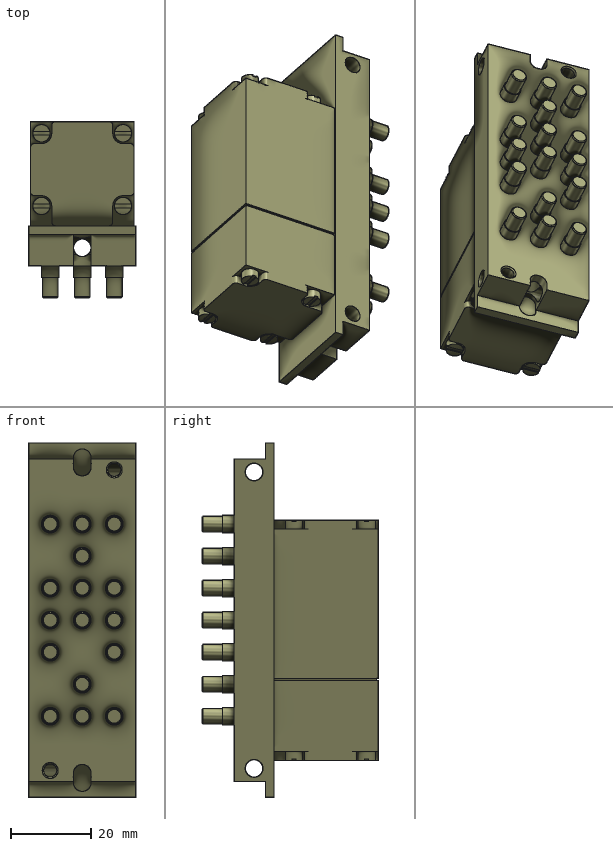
import cadquery as cq
import math

plate_length = 88.5
plate_width = 26.8
plate_thickness = 10.0
flange_thickness = 2.2
flange_overhang = 4.0
block_length = plate_length - 2 * flange_overhang

housing_width = 25.8
housing_depth = 26.0
housing_height = 60.0
housing_center_z = -5.05
housing_back_y = plate_thickness + housing_depth
housing_top_z = housing_center_z + housing_height / 2
housing_bottom_z = housing_center_z - housing_height / 2
lower_section_height = 20.3
groove_width = 0.5
groove_depth = 0.4

screw_x = 10.2
screw_head_diameter = 4.3
screw_from_back = 2.9
screw_from_plate = 5.0
back_screw_y = housing_back_y - screw_from_back
front_screw_y = plate_thickness + screw_from_plate
screw_slot_width = 1.0
screw_slot_depth = 0.35
pocket_depth = 2.2
pocket_radius = 2.6
pocket_lip_radius = 1.0

pin_field_height = 48.0
pin_rows = [(-1, 0, 1), (0,), (-1, 0, 1), (-1, 0, 1), (-1, 1), (0,), (-1, 0, 1)]
pin_pitch = pin_field_height / (len(pin_rows) - 1)
pin_length = 8.0
pin_collar_diameter = 4.4
pin_collar_length = 2.9
pin_tip_diameter = 4.0
pin_tip_chamfer = 0.3

mount_hole_diameter = 4.3
cross_hole_y = plate_thickness / 2
cross_hole_z = 37.0
long_hole_y = 4.5
front_hole_diameter = 3.3
front_hole_z = 37.5
front_hole_chamfer = 0.35
slot_width = 4.4
slot_length = 6.7
slot_center_z = 39.4
slot_depth = 8.2


def box(x_range, y_range, z_range):
    """Axis-aligned box given by its limits along each axis."""
    sizes = [high - low for low, high in (x_range, y_range, z_range)]
    corner = (x_range[0], y_range[0], z_range[0])
    return cq.Workplane("XY").box(*sizes, centered=False).translate(corner)


def centered(length):
    """Limits of a span of this length about zero."""
    return (-length / 2, length / 2)


def front_plane(x, z):
    """Workplane on the plate's front face whose extrusions run into the plate."""
    return cq.Workplane(cq.Plane((x, 0, z), xDir=(-1, 0, 0), normal=(0, 1, 0)))


def make_plate():
    block = box(centered(plate_width), (0, plate_thickness), centered(block_length))
    flange_front_y = plate_thickness - flange_thickness
    flange = box(centered(plate_width), (flange_front_y, plate_thickness), centered(plate_length))
    return block.union(flange)


def cut_plate_holes(plate):
    long_hole = (
        cq.Workplane("XY")
        .center(0, long_hole_y)
        .circle(mount_hole_diameter / 2)
        .extrude(block_length / 2, both=True)
    )
    plate = plate.cut(long_hole)
    for side in (-1, 1):
        cross_hole = (
            cq.Workplane("YZ")
            .center(cross_hole_y, side * cross_hole_z)
            .circle(mount_hole_diameter / 2)
            .extrude(plate_width / 2, both=True)
        )
        end_slot = (
            front_plane(0, side * slot_center_z)
            .slot2D(slot_length, slot_width, 90)
            .extrude(slot_depth)
        )
        plate = plate.cut(cross_hole).cut(end_slot)
        start = front_plane(side * pin_pitch, side * front_hole_z)
        front_hole = start.circle(front_hole_diameter / 2).extrude(cross_hole_y)
        countersink = (
            start.circle(front_hole_diameter / 2 + front_hole_chamfer)
            .workplane(offset=front_hole_chamfer)
            .circle(front_hole_diameter / 2)
            .loft()
        )
        plate = plate.cut(front_hole).cut(countersink)
    return plate


def make_pins():
    pins = cq.Workplane("XY")
    middle_row = (len(pin_rows) - 1) / 2
    for row, columns in enumerate(pin_rows):
        for column in columns:
            base = cq.Workplane("XZ").center(column * pin_pitch, (middle_row - row) * pin_pitch)
            collar = base.circle(pin_collar_diameter / 2).extrude(pin_collar_length)
            tip = base.circle(pin_tip_diameter / 2).extrude(pin_length)
            tip = tip.faces("<Y").chamfer(pin_tip_chamfer)
            pins = pins.add(collar.union(tip))
    return pins.combine()


def screw_y(y_side):
    """Y of the screws at the back (1) or beside the plate (-1)."""
    return back_screw_y if y_side > 0 else front_screw_y


def corner_pocket(x_side, y_side):
    """Corner recess, rounded about the screw, extruded up from Z = 0 by its depth."""
    center_x = x_side * screw_x
    center_y = screw_y(y_side)
    inner_x = center_x - x_side * pocket_radius
    inner_y = center_y - y_side * pocket_radius
    outer_x = x_side * housing_width / 2
    outer_y = housing_back_y if y_side > 0 else plate_thickness
    lip_x = inner_x - x_side * pocket_lip_radius
    lip_y = inner_y - y_side * pocket_lip_radius
    lip_start_x = outer_x - x_side * pocket_lip_radius
    lip_start_y = outer_y - y_side * pocket_lip_radius
    lip_bulge = pocket_lip_radius * math.sqrt(0.5)
    end_lip_middle = (lip_x + x_side * lip_bulge, lip_start_y + y_side * lip_bulge)
    side_lip_middle = (lip_start_x + x_side * lip_bulge, lip_y + y_side * lip_bulge)
    return (
        cq.Workplane("XY")
        .moveTo(outer_x, outer_y)
        .lineTo(lip_x, outer_y)
        .threePointArc(end_lip_middle, (inner_x, lip_start_y))
        .lineTo(inner_x, center_y)
        .tangentArcPoint((center_x, inner_y), relative=False)
        .lineTo(lip_start_x, inner_y)
        .threePointArc(side_lip_middle, (outer_x, lip_y))
        .close()
        .extrude(pocket_depth)
    )


def screw_head(x_side, y_side):
    """Slotted screw head standing on Z = 0, its slot along X."""
    x = x_side * screw_x
    y = screw_y(y_side)
    head = cq.Workplane("XY").center(x, y).circle(screw_head_diameter / 2).extrude(pocket_depth)
    slot = (
        cq.Workplane("XY", origin=(x, y, pocket_depth - screw_slot_depth))
        .rect(screw_head_diameter, screw_slot_width)
        .extrude(screw_slot_depth)
    )
    return head.cut(slot)


def make_housing():
    housing = box(
        centered(housing_width),
        (plate_thickness, housing_back_y),
        (housing_bottom_z, housing_top_z),
    )
    groove_z = housing_bottom_z + lower_section_height
    groove_z_range = (groove_z - groove_width / 2, groove_z + groove_width / 2)
    band = box(centered(housing_width), (plate_thickness, housing_back_y), groove_z_range)
    core = box(
        centered(housing_width - 2 * groove_depth),
        (plate_thickness, housing_back_y - groove_depth),
        groove_z_range,
    )
    housing = housing.cut(band.cut(core))

    for x_side in (-1, 1):
        for y_side in (-1, 1):
            pocket = corner_pocket(x_side, y_side)
            head = screw_head(x_side, y_side)
            recess = pocket.cut(head).translate((0, 0, housing_height / 2 - pocket_depth))
            for end_recess in (recess, recess.mirror("XY")):
                housing = housing.cut(end_recess.translate((0, 0, housing_center_z)))
    return housing


result = cut_plate_holes(make_plate()).union(make_pins()).union(make_housing())